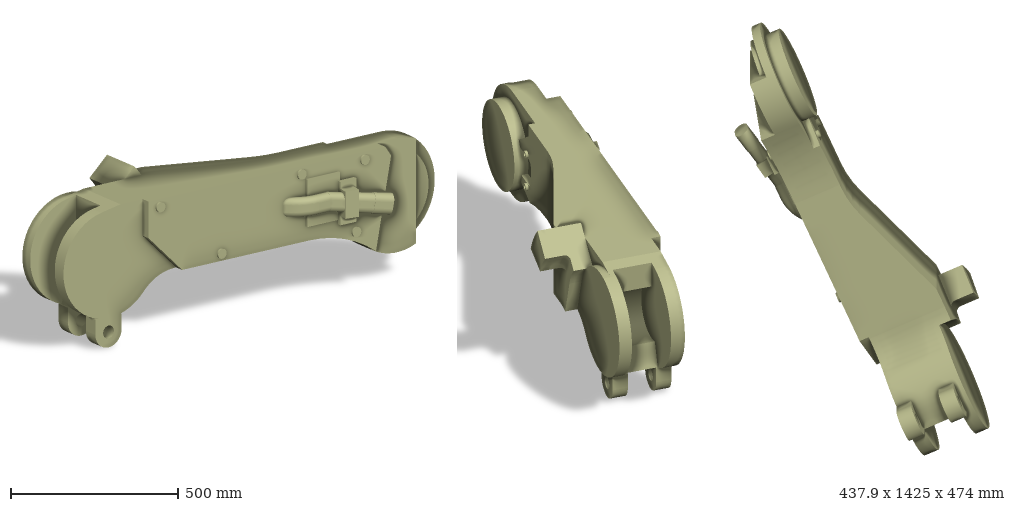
import cadquery as cq
import math

FAR = 1710.0

total_length = 1425.0
front_radius = 170.0
back_radius = 180.0
back_y = total_length - front_radius - back_radius
arm_top = back_radius
arm_bottom = -60.0
top_slope = 10
front_arch_y = 242.0
back_arch_y = 720.0

wide_left = -142.0
narrow_left = -13.0
flare_angle = 20
flare_corner_y = 658.0
flare_blend = 285.0
wide_blend = 24.0
arm_right = 134.0
flange_right = 104.0
flange_left = -flange_right
right_start_y = 124.0
right_end_y = 1022.0
right_end_x = 90.0
body_end_y = 1147.0
plate_right = 35.0
plate_left = 9.0

undercut_z = 64.0

end_crest_z = 148.0
end_top_y = 1000.0
end_foot = (958.0, -185.0)

slot_left = -64.0
slot_right = 60.0
slot_bore = 90.0
slot_lower_angle = 251.5

flank_angle = 17.3
step_left = -81.0

block_left = -220.0
block_inner = 222.0
block_outer = 312.0
block_start = 22.2
block_end = 42.8
block_fillet = 17.0
block_spare = 2.0

lug_radius = 48.0
lug_hole_radius = 20.0
lug_y = -3.0
lug_z = -214.0
lug_top = -165.0
lug_width = 48.0
lug_lefts = (-83.0, flange_right - lug_width)

cover_radius = 141.0
cover_left = -35.0
cover_right = 57.0
recess_y = 876.0
recess_upper_angle = 34.7
recess_lower_angle = 22.0

pocket_front_y = 854.0
pocket_top = 60.0
pocket_bottom = -30.0
pocket_corner = 21.0
screw_y = 886.0
screw_zs = (71.0, -41.0)
screw_radius = 11.0
screw_height = 9.0
socket_radius = 5.0
socket_depth = 4.0

hose_x = 161.0
hose_z = 60.0
hose_width = 38.0
hose_height = 60.0
sleeve_thickness = 1.0
sleeve_joint = 147.0
hose_bend_radius = 111.0
hose_bend_angle = 60
hose_straight_start = 721.0
hose_straight_end = 770.0
hose_side_angle = 10.0
hose_drop_angle = 10.0
hose_outer_length = 210.0
hose_overlap = 7.0

clamp_size = (43.0, 45.0, 85.0)
clamp_distance = 70.0
base_thickness = 9.0
base_y = (705.0, 826.0)
base_z = (-13.0, 137.0)
bracket_right = 157.0
bracket_y = (818.0, 878.0)
bracket_z = (-25.0, 111.0)

head_radius = 15.0
head_height = 7.0
head_places = [(165.0, 155.0), (392.0, -35.0), (688.0, 155.0), (890.0, -65.0), (922.0, 155.0)]


def polar(radius, degrees):
    """Point in the Y-Z plane at an angle from +Y towards +Z."""
    angle = math.radians(degrees)
    return (radius * math.cos(angle), radius * math.sin(angle))


def slab(outline, x_start, x_end):
    """Extrude a closed Y-Z outline from x_start to x_end."""
    return outline.extrude(x_end - x_start).translate((x_start, 0, 0))


def side_plane():
    return cq.Workplane("YZ")


def disc(radius, y, z, x_start, x_end):
    return slab(side_plane().center(y, z).circle(radius), x_start, x_end)


def polygon(points, x_start, x_end):
    return slab(side_plane().polyline(points).close(), x_start, x_end)


def arch(hub_y, hub_radius, flat_y):
    """Tangent point on the hub and midpoint of the arc from the flat underside to the hub."""
    span = flat_y - hub_y
    radius = (span**2 + arm_bottom**2 - hub_radius**2) / (2 * (hub_radius + arm_bottom))
    centre_z = arm_bottom - radius
    reach = math.hypot(span, centre_z)
    tangent = (hub_y + span * hub_radius / reach, centre_z * hub_radius / reach)
    middle_y = (tangent[0] + flat_y) / 2
    middle_z = centre_z + math.sqrt(radius**2 - (middle_y - flat_y) ** 2)
    return tangent, (middle_y, middle_z)


def arm_side():
    """Side outline: two round ends joined by a beam with an arched underside."""
    slope = math.radians(top_slope)
    slope_y = (arm_top * math.cos(slope) - front_radius) / math.sin(slope)
    front_tangent, front_middle = arch(0, front_radius, front_arch_y)
    back_tangent, back_middle = arch(back_y, back_radius, back_arch_y)
    outline = (
        side_plane()
        .moveTo(slope_y, arm_top)
        .lineTo(back_y, arm_top)
        .threePointArc((back_y + back_radius, 0), back_tangent)
        .threePointArc(back_middle, (back_arch_y, arm_bottom))
        .lineTo(front_arch_y, arm_bottom)
        .threePointArc(front_middle, front_tangent)
        .threePointArc((-front_radius, 0), polar(front_radius, 90 + top_slope))
        .close()
    )
    return slab(outline, wide_left, arm_right)


def arm_plan():
    """Plan outline: flared on the left, stepped on the right."""
    flare_y = flare_corner_y - (narrow_left - wide_left) / math.tan(math.radians(flare_angle))
    front_y = -front_radius
    end_y = back_y + back_radius
    points = [
        (wide_left, front_y),
        (flange_right, front_y),
        (flange_right, right_start_y),
        (arm_right, right_start_y),
        (arm_right, right_end_y),
        (right_end_x, right_end_y),
        (right_end_x, body_end_y),
        (plate_right, body_end_y),
        (plate_right, end_y),
        (narrow_left, end_y),
        (narrow_left, flare_corner_y),
        (wide_left, flare_y),
    ]
    plan = cq.Workplane("XY").polyline(points).close().extrude(FAR).translate((0, 0, -FAR / 2))
    narrow_corner = cq.selectors.NearestToPointSelector((narrow_left, flare_corner_y, 0))
    wide_corner = cq.selectors.NearestToPointSelector((wide_left, flare_y, 0))
    plan = plan.edges("|Z").edges(narrow_corner).fillet(flare_blend)
    return plan.edges("|Z").edges(wide_corner).fillet(wide_blend)


def right_layer_cuts():
    """Sloped ends of the thick layer on the right side of the arm."""
    drop = undercut_z + FAR
    undercut = polygon(
        [(right_start_y, undercut_z), (right_start_y + drop, -FAR), (right_start_y, -FAR)],
        flange_right,
        arm_right,
    )
    rear = polygon(
        [(end_top_y, arm_top), (right_end_y, end_crest_z), end_foot, (FAR, end_foot[1]), (FAR, arm_top)],
        right_end_x,
        arm_right,
    )
    return undercut, rear


def clevis_slot():
    """Slot between the front flanges, with a half-round bore in its back wall."""
    wedge = polygon(
        [(0, 0), (0, FAR), (-FAR, FAR), (-FAR, -FAR), polar(FAR, slot_lower_angle)],
        slot_left,
        slot_right,
    )
    return wedge.union(disc(slot_bore, 0, 0, slot_left, slot_right))


def left_flange_cuts():
    """Room above the left flange, and the step from the wide face down to the flange."""
    ray_near = polar(front_radius, block_end)
    flank_start = polar(front_radius, flank_angle)
    flank_run = polar(FAR, flank_angle - 90)
    outside = (
        side_plane()
        .moveTo(*ray_near)
        .threePointArc(polar(front_radius, (block_end + flank_angle) / 2), flank_start)
        .lineTo(flank_start[0] + flank_run[0], flank_start[1] + flank_run[1])
        .lineTo(-FAR, -FAR)
        .lineTo(-FAR, FAR)
        .lineTo(0, FAR)
        .close()
    )
    slope_end = 90 + top_slope
    above = (
        side_plane()
        .moveTo(*polar(FAR, block_end))
        .lineTo(*ray_near)
        .threePointArc(polar(front_radius, (block_end + slope_end) / 2), polar(front_radius, slope_end))
        .lineTo(*polar(FAR, slope_end))
        .close()
    )
    return slab(above, block_left, step_left), slab(outside, block_left, flange_left)


def stop_block():
    """Ring sector blended into the arm's left face, with spare length for the front trim."""
    blend_start = wide_left - block_fillet
    blend_inner = block_inner - block_fillet
    diagonal = block_fillet * math.sqrt(0.5)
    section = (
        cq.Workplane("XY")
        .moveTo(block_left, block_inner)
        .lineTo(blend_start, block_inner)
        .threePointArc((blend_start + diagonal, blend_inner + diagonal), (wide_left, blend_inner))
        .lineTo(step_left, blend_inner)
        .lineTo(step_left, block_outer)
        .lineTo(block_left, block_outer)
        .close()
    )
    sector = section.revolve(block_end + block_spare - block_start, (0, 0, 0), (1, 0, 0))
    return sector.rotate((0, 0, 0), (1, 0, 0), block_start)


def lug(left):
    """Rounded lug with a cross hole."""
    outline = (
        side_plane()
        .center(lug_y, 0)
        .moveTo(-lug_radius, lug_top)
        .lineTo(-lug_radius, lug_z)
        .threePointArc((0, lug_z - lug_radius), (lug_radius, lug_z))
        .lineTo(lug_radius, lug_top)
        .close()
    )
    right = left + lug_width
    return slab(outline, left, right).cut(disc(lug_hole_radius, lug_y, lug_z, left, right))


def left_recess():
    """Step down around the back joint that leaves a wedge pointing at the joint axis."""
    run_to_corner = back_y - recess_y
    corner_z = run_to_corner * math.tan(math.radians(recess_upper_angle))
    lower_y, lower_z = polar(-FAR, recess_lower_angle)
    outline = [
        (back_y, 0),
        (recess_y, corner_z),
        (recess_y, FAR),
        (FAR, FAR),
        (FAR, -FAR),
        (back_y + lower_y, lower_z),
    ]
    return polygon(outline, narrow_left, plate_left)


def pocket():
    """Flat pocket with rounded front corners, running under the back cover."""
    height = pocket_top - pocket_bottom
    length = back_y - pocket_front_y
    outline = side_plane().center((pocket_front_y + back_y) / 2, (pocket_top + pocket_bottom) / 2)
    block = slab(outline.rect(length, height), narrow_left, plate_left)
    return block.edges("|X and <Y").fillet(pocket_corner)


def screw(z):
    """Round screw head with a socket on the narrow left face."""
    head_left = narrow_left - screw_height
    socket = disc(socket_radius, screw_y, z, head_left, head_left + socket_depth)
    return disc(screw_radius, screw_y, z, head_left, narrow_left).cut(socket)


def box(x_range, y_range, z_range):
    """Box between the given limits."""
    sizes = [high - low for low, high in (x_range, y_range, z_range)]
    corner = (x_range[0], y_range[0], z_range[0])
    return cq.Workplane("XY").box(*sizes, centered=False).translate(corner)


def hose_section(plane, width, height):
    """Flat-sided oval hose section, upright on the plane."""
    return cq.Workplane(plane).slot2D(height, width, 90)


def outer_run_plane(distance):
    """Plane across the outer hose run, at a distance from its start."""
    side = math.radians(hose_side_angle)
    drop = math.radians(hose_drop_angle)
    along = cq.Vector(
        math.sin(side) * math.cos(drop), math.cos(side) * math.cos(drop), -math.sin(drop)
    )
    start = cq.Vector(hose_x, hose_straight_end, hose_z)
    across = cq.Vector(-math.cos(side), math.sin(side), 0)
    return cq.Plane(start + along * distance, across, along)


def hose():
    """Hose leaving the right face towards +Y, with its clamp."""
    start = cq.Plane((hose_x, hose_straight_start, hose_z), (-1, 0, 0), (0, 1, 0))
    straight_length = hose_straight_end - hose_straight_start
    straight = hose_section(start, hose_width, hose_height).extrude(straight_length)
    bend = hose_section(start, hose_width, hose_height).revolve(
        hose_bend_angle, (hose_bend_radius, 0, 0), (hose_bend_radius, -1, 0)
    )
    inner_start = outer_run_plane(-hose_overlap)
    inner = hose_section(inner_start, hose_width, hose_height).extrude(clamp_distance + hose_overlap)
    body = bend.union(straight).union(inner)
    sleeve_starts = (clamp_distance, sleeve_joint)
    for layer, sleeve_start in enumerate(sleeve_starts, start=1):
        growth = 2 * layer * sleeve_thickness
        section = hose_section(
            outer_run_plane(sleeve_start), hose_width + growth, hose_height + growth
        )
        body = body.union(section.extrude(hose_outer_length - sleeve_start))
    centre = outer_run_plane(clamp_distance).origin
    clamp = cq.Workplane("XY").box(*clamp_size).rotate((0, 0, 0), (0, 0, 1), -hose_side_angle)
    return body.union(clamp.translate(centre))


def hose_mount():
    """Base plate on the arm and the bracket plate that carries the clamp."""
    base_right = arm_right + base_thickness
    base = box((arm_right, base_right), base_y, base_z)
    bracket = box((base_right, bracket_right), bracket_y, bracket_z)
    return base.union(bracket)


arm = arm_side().intersect(arm_plan())
for cut in (*right_layer_cuts(), clevis_slot(), left_recess(), pocket()):
    arm = arm.cut(cut)
arm = arm.union(disc(cover_radius, back_y, 0, cover_left, cover_right))
for z in screw_zs:
    arm = arm.union(screw(z))
arm = arm.union(hose_mount()).union(hose())
for y, z in head_places:
    arm = arm.union(disc(head_radius, y, z, arm_right, arm_right + head_height))
for left in lug_lefts:
    arm = arm.union(lug(left))
arm = arm.union(stop_block())
for cut in left_flange_cuts():
    arm = arm.cut(cut, clean=False)
result = arm